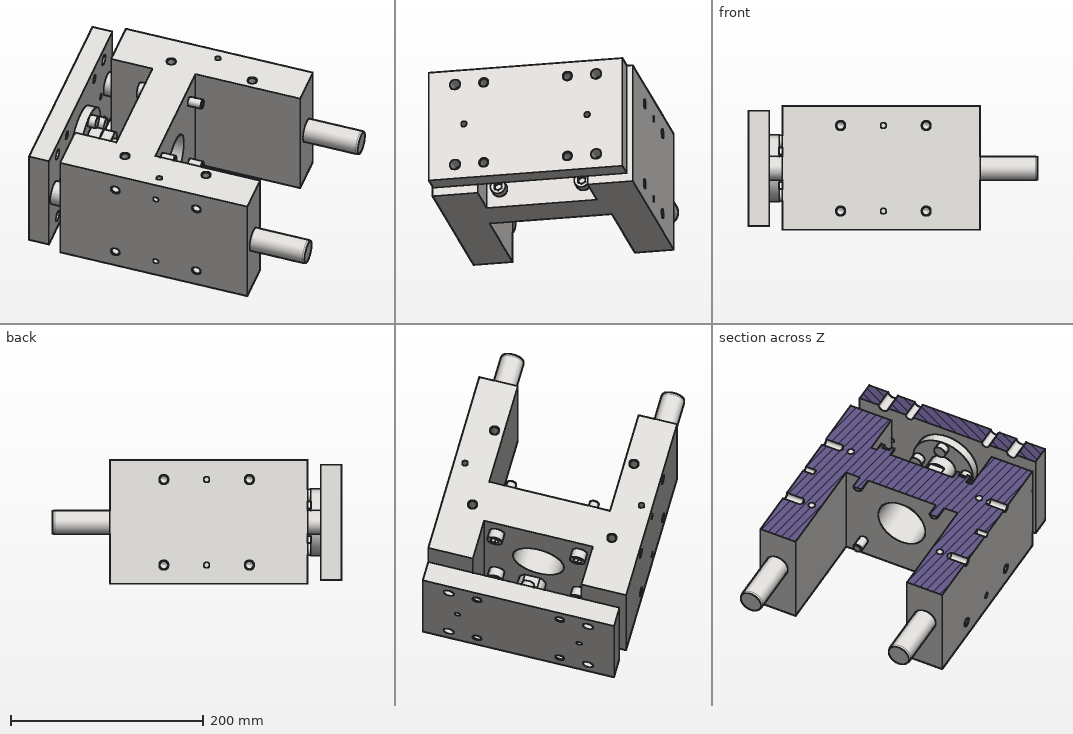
import cadquery as cq
import math

plate_thickness = 22
plate_width = 206
plate_height = 120

rod_diameter = 25
rod_end = 301
rod_spacing = 173
rod_taper_length = 2.5
rod_taper_depth = 0.7

housing_front = 35.5
housing_rear = 241
housing_width = 213
housing_top = 65
housing_bottom = -64
web_front = 81
web_thickness = 45
web_rear = web_front + web_thickness
front_gap_width = 117
rear_gap_width = 130
web_bore_diameter = 55

hole_pitch = 89
pattern_x = 140.5
hole_x = (pattern_x - hole_pitch / 2, pattern_x + hole_pitch / 2)

thread_diameter = 10
thread_core_diameter = 8.38
drill_tip_angle = 118
blind_thread_depth = 20
dowel_diameter = 6
blind_dowel_depth = 12
top_thread_spacing = 150
top_dowel_spacing = 190

plate_clearance_diameter = 11
plate_clearance_spacing = 150
plate_dowel_spacing = 131

screw_head_diameter = 16
screw_head_height = 10
screw_diameter = 10
screw_projection = 15
screw_tip_chamfer = 1
screw_socket_width = 8
screw_socket_depth = 5

flange_diameter = 70
flange_thickness = 10
flange_screw_diameter = 13
flange_screw_height = 8
flange_screw_count = 4
flange_screw_circle = 56
coupling_diameter = 29
coupling_end = 57
coupling_flat_length = 12
coupling_across_flats = 24


def mirrored(spacing):
    return (-spacing / 2, spacing / 2)


def grid(first_values, second_values):
    return [(a, b) for a in first_values for b in second_values]


def x_cylinder(x_start, x_end, diameter, centre=(0, 0)):
    """Cylinder along X whose axis passes through centre = (y, z)."""
    return (
        cq.Workplane("YZ", origin=(x_start, 0, 0))
        .center(*centre)
        .circle(diameter / 2)
        .extrude(x_end - x_start)
    )


def blind_thread(mouth, direction):
    """Cutter for a blind tapped hole with a countersunk mouth and a drill point."""
    core_radius = thread_core_diameter / 2
    mouth_radius = thread_diameter / 2
    countersink_depth = mouth_radius - core_radius
    tip_depth = core_radius / math.tan(math.radians(drill_tip_angle / 2))
    cutter = (
        cq.Workplane("XZ")
        .moveTo(0, 0)
        .lineTo(mouth_radius, 0)
        .lineTo(core_radius, countersink_depth)
        .lineTo(core_radius, blind_thread_depth)
        .lineTo(0, blind_thread_depth + tip_depth)
        .close()
        .revolve(360, (0, 0), (0, 1))
    )
    plane = cq.Plane(origin=mouth, xDir=(1, 0, 0), normal=direction)
    return cq.Workplane(cutter.val().moved(cq.Location(plane)))


def blind_dowel(mouth, direction):
    """Cutter for a flat-bottomed dowel hole."""
    plane = cq.Plane(origin=mouth, xDir=(1, 0, 0), normal=direction)
    return cq.Workplane(plane).circle(dowel_diameter / 2).extrude(blind_dowel_depth)


def housing_block():
    """H-shaped block: two side arms joined by a cross web."""
    height = housing_top - housing_bottom
    base = cq.Workplane("XY", origin=(0, 0, housing_bottom))
    block = (
        base.center((housing_front + housing_rear) / 2, 0)
        .rect(housing_rear - housing_front, housing_width)
        .extrude(height)
    )
    front_gap = (
        base.center((housing_front + web_front) / 2, 0)
        .rect(web_front - housing_front, front_gap_width)
        .extrude(height)
    )
    rear_gap = (
        base.center((web_rear + housing_rear) / 2, 0)
        .rect(housing_rear - web_rear, rear_gap_width)
        .extrude(height)
    )
    return block.cut(front_gap).cut(rear_gap)


def web_screw(centre):
    """Socket head screw through the web, its tip standing out behind."""
    head_front = web_front - screw_head_height
    head = x_cylinder(head_front, web_front, screw_head_diameter, centre)
    shank = x_cylinder(web_front, web_rear + screw_projection, screw_diameter, centre)
    shank = shank.faces(">X").chamfer(screw_tip_chamfer)
    socket = (
        cq.Workplane("YZ", origin=(head_front, 0, 0))
        .center(*centre)
        .polygon(6, screw_socket_width, circumscribed=True)
        .extrude(screw_socket_depth)
    )
    return head.union(shank).cut(socket)


def make_housing():
    body = housing_block()
    body = body.cut(x_cylinder(web_front, web_rear, web_bore_diameter))

    for y in mirrored(rod_spacing):
        body = body.cut(x_cylinder(housing_front, housing_rear, rod_diameter, (y, 0)))

    down = (0, 0, -1)
    for x, y in grid(hole_x, mirrored(top_thread_spacing)):
        body = body.cut(blind_thread((x, y, housing_top), down))
    for y in mirrored(top_dowel_spacing):
        body = body.cut(blind_dowel((pattern_x, y, housing_top), down))

    for side in (-1, 1):
        face_y = side * housing_width / 2
        inward = (0, -side, 0)
        for x, z in grid(hole_x, mirrored(hole_pitch)):
            body = body.cut(blind_thread((x, face_y, z), inward))
        for z in mirrored(hole_pitch):
            body = body.cut(blind_dowel((pattern_x, face_y, z), inward))

    for centre in grid(mirrored(hole_pitch), mirrored(hole_pitch)):
        body = body.union(web_screw(centre))
    return body


def guide_rod(y):
    """Guide rod with a slim taper at its free end."""
    rod = x_cylinder(plate_thickness, rod_end, rod_diameter, (y, 0))
    return rod.faces(">X").chamfer(rod_taper_length, rod_taper_depth)


def coupling():
    """Round flange with its screw heads and a stub that has two wrench flats."""
    flange_rear = plate_thickness + flange_thickness
    body = x_cylinder(plate_thickness, flange_rear, flange_diameter)

    stub = x_cylinder(flange_rear, coupling_end, coupling_diameter)
    flat_cut_height = (coupling_diameter - coupling_across_flats) / 2
    for side in (-1, 1):
        flat_cut = cq.Workplane("XY").box(coupling_flat_length, coupling_diameter, flat_cut_height)
        flat_z = side * (coupling_across_flats + flat_cut_height) / 2
        stub = stub.cut(flat_cut.translate((coupling_end - coupling_flat_length / 2, 0, flat_z)))
    body = body.union(stub)

    for index in range(flange_screw_count):
        angle = 2 * math.pi * index / flange_screw_count
        radius = flange_screw_circle / 2
        centre = (radius * math.cos(angle), radius * math.sin(angle))
        head_rear = flange_rear + flange_screw_height
        body = body.union(x_cylinder(flange_rear, head_rear, flange_screw_diameter, centre))
    return body


def front_plate():
    """Plate with clearance holes, tapped holes and dowel holes, all right through."""
    plate = cq.Workplane("YZ").rect(plate_width, plate_height).extrude(plate_thickness)
    for centre in grid(mirrored(plate_clearance_spacing), mirrored(hole_pitch)):
        plate = plate.cut(x_cylinder(0, plate_thickness, plate_clearance_diameter, centre))
    for y in mirrored(plate_dowel_spacing):
        plate = plate.cut(x_cylinder(0, plate_thickness, dowel_diameter, (y, 0)))
    for centre in grid(mirrored(hole_pitch), mirrored(hole_pitch)):
        plate = plate.cut(x_cylinder(0, plate_thickness, thread_core_diameter, centre))

    countersink_depth = (thread_diameter - thread_core_diameter) / 2
    tapped_rims = plate.faces("<X").edges(cq.selectors.RadiusNthSelector(1))
    return tapped_rims.chamfer(countersink_depth)


def make_carriage():
    """Moving body: front plate, coupling and the two guide rods."""
    body = front_plate().union(coupling())
    for y in mirrored(rod_spacing):
        body = body.union(guide_rod(y))
    return body


housing = make_housing()
carriage = make_carriage()

result = cq.Compound.makeCompound([housing.val(), carriage.val()])